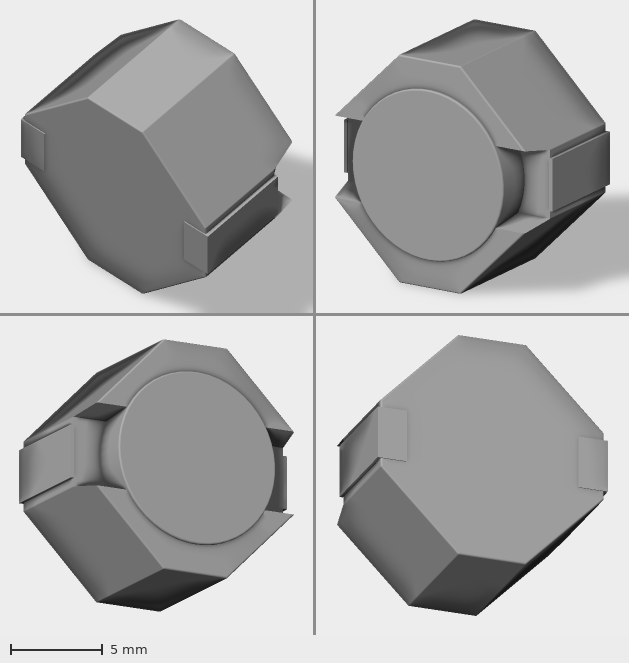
import cadquery as cq

total_length = 13.4
total_depth = 8.0
body_width = 13.0
flat_width = 3.94
body_front = 0.05
body_back = 7.8
edge_radius = 0.1
core_radius = 4.86
window_floor = 5.82
window_back_width = 4.69
terminal_width = 3.0
terminal_height = 5.9
terminal_foot = 1.7

body_half = body_width / 2
terminal_half_span = total_length / 2


def make_body():
    """Octagonal housing with every outer edge slightly rounded."""
    flat_half = flat_width / 2
    corners = [
        (body_half, flat_half), (flat_half, body_half),
        (-flat_half, body_half), (-body_half, flat_half),
        (-body_half, -flat_half), (-flat_half, -body_half),
        (flat_half, -body_half), (body_half, -flat_half),
    ]
    return (
        cq.Workplane("XZ", origin=(0, body_front, 0))
        .polyline(corners)
        .close()
        .extrude(body_front - body_back)
        .edges()
        .fillet(edge_radius)
    )


def make_windows():
    """Flared side windows, open at the back and reaching in to the core."""
    return (
        cq.Workplane("YZ", origin=(-terminal_half_span, 0, 0))
        .polyline([
            (window_floor, -flat_width / 2),
            (body_back, -window_back_width / 2),
            (body_back, window_back_width / 2),
            (window_floor, flat_width / 2),
        ])
        .close()
        .extrude(total_length)
    )


def make_core():
    """Round core that stands slightly proud of the housing back."""
    return (
        cq.Workplane("XZ", origin=(0, body_front + edge_radius, 0))
        .circle(core_radius)
        .extrude(body_front + edge_radius - total_depth)
        .faces(">Y")
        .edges()
        .fillet(edge_radius)
    )


def make_terminal():
    """L-shaped strip on the -X side: upright wall and foot under the body."""
    return (
        cq.Workplane("XY")
        .polyline([
            (-terminal_half_span, 0),
            (terminal_foot - terminal_half_span, 0),
            (terminal_foot - terminal_half_span, body_front),
            (-body_half + edge_radius, body_front),
            (-body_half, body_front + edge_radius),
            (-body_half, terminal_height),
            (-terminal_half_span, terminal_height),
        ])
        .close()
        .extrude(terminal_width / 2, both=True)
    )


terminal = make_terminal()
result = (
    make_body()
    .cut(make_windows())
    .union(make_core())
    .union(terminal)
    .union(terminal.mirror("YZ"))
)